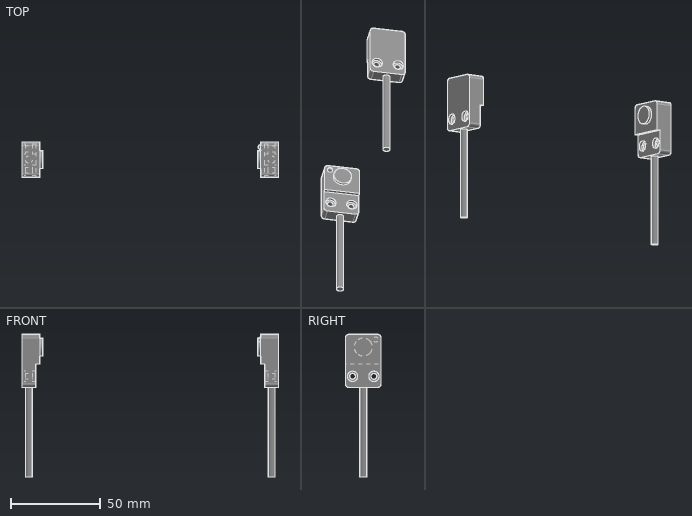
import cadquery as cq

OVERALL_LENGTH = 144.0

HOUSING_DEPTH = 10.1
HOUSING_WIDTH = 20.0
HOUSING_HEIGHT = 30.0
CORNER_RADIUS = 2.0
STEP_DEPTH = 2.2
STEP_HEIGHT = 13.1
FOOT_DEPTH = HOUSING_DEPTH - STEP_DEPTH

LENS_DIAMETER = 10.1
LENS_PROTRUSION = 1.7
LENS_HEIGHT = HOUSING_HEIGHT - 7.2

HOLE_SPACING = 12.0
HOLE_HEIGHT = 6.3
HOLE_DIAMETER = 3.2
COUNTERBORE_DIAMETER = 5.8
COUNTERBORE_DEPTH = 2.0

CABLE_DIAMETER = 4.0
CABLE_LENGTH = 50.1
CABLE_SETBACK = FOOT_DEPTH / 2

LAMP_RADIUS = 1.5
LAMP_INSET = 3.0


def x_cylinder(diameter, start, length, y, z):
    """Cylinder along +X from depth start."""
    return cq.Workplane("YZ", origin=(start, y, z)).circle(diameter / 2).extrude(length)


def housing_block():
    """Rounded block with the lower front stepped back."""
    block = (
        cq.Workplane("XY")
        .box(HOUSING_DEPTH, HOUSING_WIDTH, HOUSING_HEIGHT, centered=(False, True, False))
        .edges("|X")
        .fillet(CORNER_RADIUS)
    )
    step = (
        cq.Workplane("XY", origin=(FOOT_DEPTH, 0, 0))
        .box(STEP_DEPTH, HOUSING_WIDTH, STEP_HEIGHT, centered=(False, True, False))
    )
    return block.cut(step)


def mounting_hole(y):
    """Cutter for one through hole and its two counterbores."""
    bore = x_cylinder(HOLE_DIAMETER, 0, FOOT_DEPTH, y, HOLE_HEIGHT)
    for start in (0, FOOT_DEPTH - COUNTERBORE_DEPTH):
        bore = bore.union(x_cylinder(COUNTERBORE_DIAMETER, start, COUNTERBORE_DEPTH, y, HOLE_HEIGHT))
    return bore


def sensor_head():
    """Housing with lens, mounting holes and cable, facing +X."""
    head = housing_block()
    head = head.union(x_cylinder(LENS_DIAMETER, HOUSING_DEPTH, LENS_PROTRUSION, 0, LENS_HEIGHT))
    for side in (-1, 1):
        head = head.cut(mounting_hole(side * HOLE_SPACING / 2))
    cable = (
        cq.Workplane("XY", origin=(CABLE_SETBACK, 0, 0))
        .circle(CABLE_DIAMETER / 2)
        .extrude(-CABLE_LENGTH)
    )
    return head.union(cable)


def emitter_head():
    """Plain sensor head facing +X."""
    return sensor_head()


def receiver_head():
    """Mirrored sensor head facing -X, with an indicator lamp."""
    head = sensor_head().mirror("YZ").translate((OVERALL_LENGTH, 0, 0))
    lamp = cq.Workplane("XY").sphere(LAMP_RADIUS).translate((
        OVERALL_LENGTH - HOUSING_DEPTH,
        HOUSING_WIDTH / 2 - LAMP_INSET,
        HOUSING_HEIGHT - LAMP_INSET,
    ))
    return head.union(lamp)


emitter = emitter_head()
receiver = receiver_head()

result = cq.Compound.makeCompound([emitter.val(), receiver.val()])